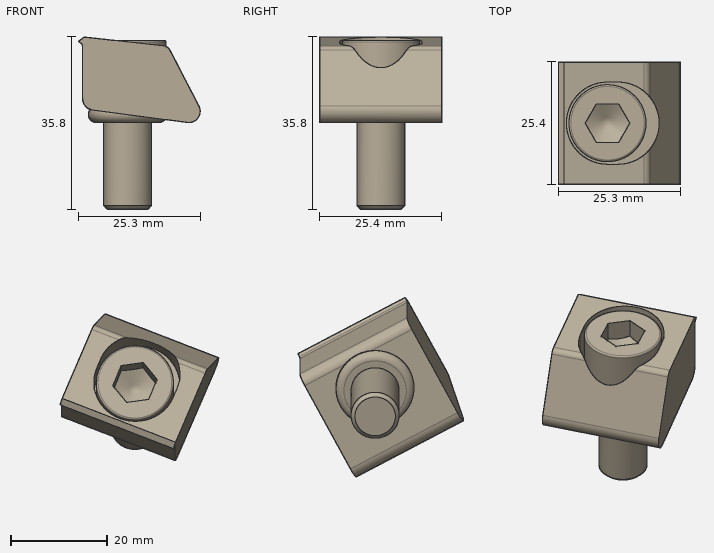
import cadquery as cq
import math

SHAFT_DIAMETER = 10.0
SHAFT_LENGTH = 25.1
TIP_CHAMFER = 0.8
HEAD_DIAMETER = 16.0
HEAD_HEIGHT = 10.0
HEAD_EDGE_RADIUS = 0.35
HEX_ACROSS_FLATS = 8.02
HEX_DEPTH = 4.0
HEX_CONE_ANGLE = 120.0

WASHER_DIAMETER = 16.32
WASHER_RIM_RADIUS = 1.7
WASHER_BOTTOM = 18.0

BLOCK_WIDTH = 25.4
BACK_X = -9.35
PEAK_X = -9.0
PEAK_Z = 35.8
NOSE_X = -10.2
NOSE_Z = 34.9
NECK_Z = 34.2
BACK_BOTTOM_Z = 20.9
FRONT_TOP_X = 8.4
FRONT_TOP_Z = 33.85
TOE_X = 16.95
TOE_Z = 17.45
NECK_RADIUS = 0.75
SHOULDER_RADIUS = 1.6
BOTTOM_RADIUS = 2.35

SLOT_WIDTH = 17.08
SLOT_TRAVEL = 2.2


def cylinder(diameter, bottom, height):
    """Upright cylinder on the Z axis."""
    return cq.Workplane("XY").workplane(offset=bottom).circle(diameter / 2).extrude(height)


def make_hex_socket():
    """Hexagonal recess with a conical floor, ready to be cut from the head."""
    head_top = SHAFT_LENGTH + HEAD_HEIGHT
    corner_radius = HEX_ACROSS_FLATS / math.sqrt(3)
    cone_height = corner_radius / math.tan(math.radians(HEX_CONE_ANGLE / 2))
    prism = (
        cq.Workplane("XY")
        .workplane(offset=head_top)
        .polygon(6, 2 * corner_radius)
        .extrude(-HEX_DEPTH - cone_height)
    )
    cone_base = head_top - HEX_DEPTH
    envelope = (
        cq.Workplane("XZ")
        .moveTo(0, head_top)
        .lineTo(corner_radius, head_top)
        .lineTo(corner_radius, cone_base)
        .lineTo(0, cone_base - cone_height)
        .close()
        .revolve(360, (0, 0), (0, 1))
    )
    return prism.intersect(envelope)


def make_screw():
    """Socket head cap screw."""
    shaft = cylinder(SHAFT_DIAMETER, 0, SHAFT_LENGTH).faces("<Z").chamfer(TIP_CHAMFER)
    head = cylinder(HEAD_DIAMETER, SHAFT_LENGTH, HEAD_HEIGHT).faces(">Z").edges().fillet(HEAD_EDGE_RADIUS)
    return shaft.union(head).cut(make_hex_socket())


def make_washer_disc():
    """Solid disc with a half-round rim, the outer form of the washer."""
    rim_centre = WASHER_DIAMETER / 2 - WASHER_RIM_RADIUS
    washer_top = WASHER_BOTTOM + 2 * WASHER_RIM_RADIUS
    return (
        cq.Workplane("XZ")
        .moveTo(0, WASHER_BOTTOM)
        .lineTo(rim_centre, WASHER_BOTTOM)
        .threePointArc((WASHER_DIAMETER / 2, WASHER_BOTTOM + WASHER_RIM_RADIUS), (rim_centre, washer_top))
        .lineTo(0, washer_top)
        .close()
        .revolve(360, (0, 0), (0, 1))
    )


def make_shaft_hole():
    """Cylinder that clears the screw shaft through the block and washer."""
    return cylinder(SHAFT_DIAMETER, 0, SHAFT_LENGTH)


def make_washer():
    return make_washer_disc().cut(make_shaft_hole())


def make_block_blank():
    """Extruded wedge with a pointed nose and rounded long edges."""
    profile = [
        (NOSE_X, NOSE_Z),
        (PEAK_X, PEAK_Z),
        (FRONT_TOP_X, FRONT_TOP_Z),
        (TOE_X, TOE_Z),
        (BACK_X, BACK_BOTTOM_Z),
        (BACK_X, NECK_Z),
    ]
    rounded_corners = [
        (BACK_X, NECK_Z, NECK_RADIUS),
        (FRONT_TOP_X, FRONT_TOP_Z, SHOULDER_RADIUS),
        (TOE_X, TOE_Z, BOTTOM_RADIUS),
        (BACK_X, BACK_BOTTOM_Z, BOTTOM_RADIUS),
    ]
    blank = cq.Workplane("XZ").polyline(profile).close().extrude(BLOCK_WIDTH / 2, both=True)
    for x, z, radius in rounded_corners:
        blank = blank.edges(cq.NearestToPointSelector((x, 0, z))).fillet(radius)
    return blank


def make_head_slot():
    """Round-ended slot whose floor carries the screw head."""
    return (
        cq.Workplane("XY")
        .workplane(offset=SHAFT_LENGTH)
        .center(SLOT_TRAVEL / 2, 0)
        .slot2D(SLOT_WIDTH + SLOT_TRAVEL, SLOT_WIDTH)
        .extrude(PEAK_Z - SHAFT_LENGTH)
    )


def make_block():
    """Clamp block with the head slot, the shaft hole and the washer seat."""
    return make_block_blank().cut(make_head_slot()).cut(make_shaft_hole()).cut(make_washer_disc())


block = make_block()
screw = make_screw()
washer = make_washer()

result = cq.Compound.makeCompound([block.val(), screw.val(), washer.val()])